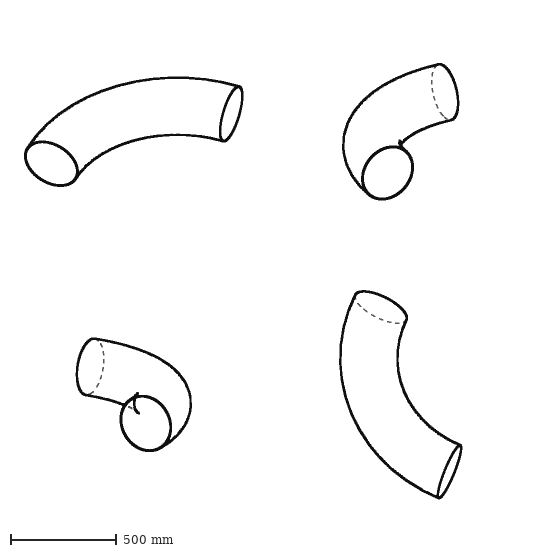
import cadquery as cq

overall_size = 786.5
outer_diameter = 273.0
wall_thickness = 4.0
bend_angle = 90.0

outer_radius = outer_diameter / 2
inner_radius = outer_radius - wall_thickness
bend_radius = overall_size - outer_radius

pipe_section = cq.Workplane("XZ").center(-bend_radius, 0).circle(outer_radius).circle(inner_radius)

result = pipe_section.revolve(bend_angle, (bend_radius, 0, 0), (bend_radius, -1, 0))